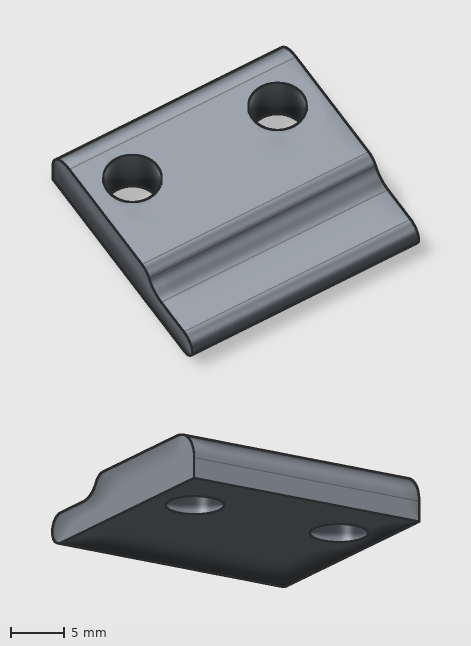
import cadquery as cq
import math

length = 25.0
width = 25.0
height = 5.0
nose_radius = 3.0

tongue_height = 3.0
tip_radius = tongue_height / 2
tip_start = length - tip_radius

step_start = 16.0
crest_radius = 1.5
root_radius = 2.5

hole_diameter = 5.5
hole_x = 7.0
hole_edge_distance = 4.5

step_drop = height - tongue_height
radius_sum = crest_radius + root_radius
step_angle = math.acos(1 - step_drop / radius_sum)
step_end = step_start + radius_sum * math.sin(step_angle)


def crest_point(angle):
    """Point on the convex arc, turned by angle from its start on the top face."""
    return (
        step_start + crest_radius * math.sin(angle),
        height - crest_radius * (1 - math.cos(angle)),
    )


def root_point(angle):
    """Point on the concave arc, turned by angle back from its end on the tongue."""
    return (
        step_end - root_radius * math.sin(angle),
        tongue_height + root_radius * (1 - math.cos(angle)),
    )


def make_body():
    """Extrude the side profile along +Y."""
    nose_offset = nose_radius * (1 - math.sqrt(0.5))
    profile = (
        cq.Workplane("XZ")
        .lineTo(0, height - nose_radius)
        .threePointArc((nose_offset, height - nose_offset), (nose_radius, height))
        .lineTo(step_start, height)
        .threePointArc(crest_point(step_angle / 2), crest_point(step_angle))
        .threePointArc(root_point(step_angle / 2), (step_end, tongue_height))
        .lineTo(tip_start, tongue_height)
        .threePointArc((length, tip_radius), (tip_start, 0))
        .close()
    )
    return profile.extrude(-width)


def make_holes():
    """Pair of vertical cylinders, placed symmetrically across the width."""
    centers = [(hole_x, hole_edge_distance), (hole_x, width - hole_edge_distance)]
    return cq.Workplane("XY").pushPoints(centers).circle(hole_diameter / 2).extrude(height)


result = make_body().cut(make_holes())